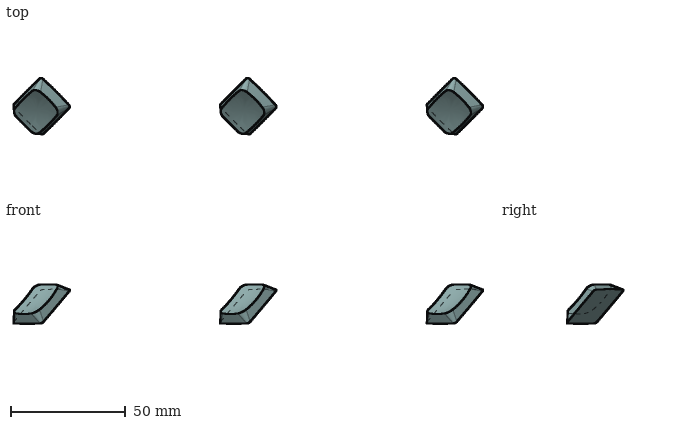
import cadquery as cq

KEY_COUNT = 3
KEY_PITCH = 90.0
KEY_TILT = 40.0
KEY_HEADING = -45.0

BASE_ACROSS = 18.5
BASE_ALONG = 23.5
BASE_CORNER = 1.2
BASE_SIDE_BOW = 0.08
BASE_END_BOW = 0.3

RIM_ACROSS = 15.1
RIM_ALONG = 19.8
RIM_CORNER = 3.0
RIM_SIDE_BOW = 0.22
RIM_END_BOW = 0.35
RIM_SHIFT = -0.6
RIM_HEIGHT = 5.0

DISH_DEPTH = 1.5
DISH_REACH = 11.2
DISH_RADIUS = (DISH_REACH**2 + DISH_DEPTH**2) / (2 * DISH_DEPTH)


def bowed_outline(across, along, corner, side_bow, end_bow):
    """Rectangle whose four sides are shallow outward arcs, with rounded corners."""
    side = across / 2
    end = along / 2
    corner_x = side - side_bow
    corner_y = end - end_bow
    return (
        cq.Sketch()
        .arc((-corner_x, -corner_y), (0, -end), (corner_x, -corner_y))
        .arc((corner_x, -corner_y), (side, 0), (corner_x, corner_y))
        .arc((corner_x, corner_y), (0, end), (-corner_x, corner_y))
        .arc((-corner_x, corner_y), (-side, 0), (-corner_x, -corner_y))
        .assemble()
        .vertices()
        .fillet(corner)
        .reset()
    )


def keycap_blank():
    """Tapered block from the base outline to the smaller, shifted rim."""
    base = bowed_outline(BASE_ACROSS, BASE_ALONG, BASE_CORNER, BASE_SIDE_BOW, BASE_END_BOW)
    rim = bowed_outline(RIM_ACROSS, RIM_ALONG, RIM_CORNER, RIM_SIDE_BOW, RIM_END_BOW)
    rim_place = cq.Location(cq.Vector(0, RIM_SHIFT, RIM_HEIGHT))
    return cq.Workplane("XY").placeSketch(base, rim.moved(rim_place)).loft(ruled=True)


def finger_dish():
    """Ball that sinks DISH_DEPTH below the rim plane over the middle of the rim."""
    ball_height = RIM_HEIGHT - DISH_DEPTH + DISH_RADIUS
    return cq.Workplane("XY").sphere(DISH_RADIUS).translate((0, RIM_SHIFT, ball_height))


def keycap(position):
    """One dished keycap, tilted about its level direction and turned to face -X and -Y."""
    level = keycap_blank().cut(finger_dish())
    tilted = level.rotate((0, 0, 0), (1, 0, 0), KEY_TILT)
    return tilted.rotate((0, 0, 0), (0, 0, 1), KEY_HEADING).translate((position, 0, 0))


FIRST_POSITION = -(KEY_COUNT - 1) * KEY_PITCH / 2
keycaps = [keycap(FIRST_POSITION + i * KEY_PITCH) for i in range(KEY_COUNT)]

result = cq.Compound.makeCompound([cap.solids().val() for cap in keycaps])